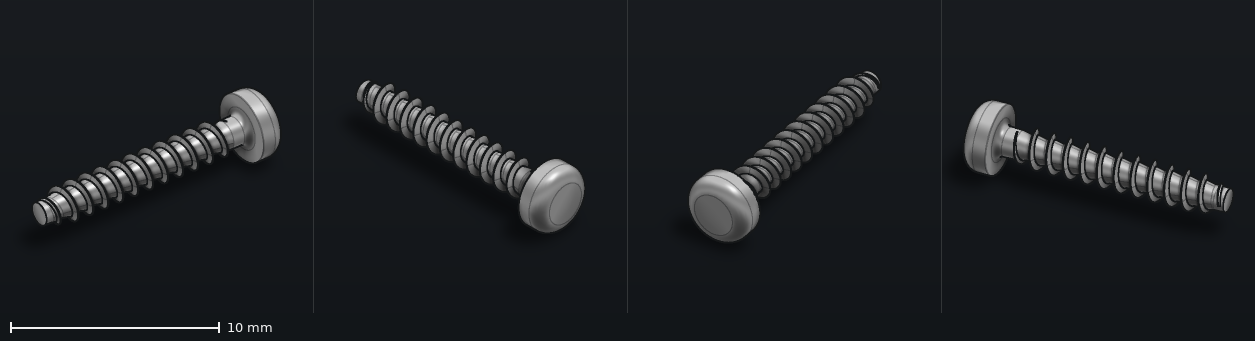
import cadquery as cq
import math

length = 13.4

head_diameter = 3.6
head_radius = head_diameter / 2
head_height = 1.4
dome_radius = 0.7
rim_radius = 0.03

shank_radius = 0.75
underhead_radius = 0.36
shank_end = 11.0
core_radius = 0.62
tip_radius = 0.6
core_top = 10.32
tip_taper_height = 0.54

crest_span = 9.78
span_turns = 11
pitch = crest_span / span_turns
first_crest = 0.68
crest_radius = 1.0
crest_half_width = 0.02
flank_half_width = 0.13
shoulder_radius = 0.71
shoulder_length = 0.62
buried_radius = 0.59
deep_radius = 0.48
start_turn = -0.5
end_turn = 11.75
tip_fade_turns = 1.25
head_fade_turns = 0.75
tip_fade_depth = 0.38
head_fade_depth = 0.25
shoulder_fade_share = 0.3
segment_turns = 0.25
points_per_segment = 5


def make_blank():
    """Revolved head, shank and tapered core."""
    head_base = length - head_height
    diagonal = math.sqrt(0.5)
    dome_middle = (
        head_radius - dome_radius * (1 - diagonal),
        length - dome_radius * (1 - diagonal),
    )
    rim_middle = (
        head_radius - rim_radius * (1 - diagonal),
        head_base + rim_radius * (1 - diagonal),
    )
    underhead_middle = (
        shank_radius + underhead_radius * (1 - diagonal),
        head_base - underhead_radius * (1 - diagonal),
    )
    outline = (
        cq.Workplane("XZ")
        .lineTo(tip_radius, 0)
        .lineTo(core_radius, tip_taper_height)
        .lineTo(core_radius, core_top)
        .lineTo(shank_radius, shank_end)
        .lineTo(shank_radius, head_base - underhead_radius)
        .threePointArc(underhead_middle, (shank_radius + underhead_radius, head_base))
        .lineTo(head_radius - rim_radius, head_base)
        .threePointArc(rim_middle, (head_radius, head_base + rim_radius))
        .lineTo(head_radius, length - dome_radius)
        .threePointArc(dome_middle, (head_radius - dome_radius, length))
        .lineTo(0, length)
        .close()
    )
    return outline.revolve(360, (0, 0, 0), (0, 1, 0))


def fade_drop(turn):
    """Distance the thread section sinks toward the axis near either end."""
    tip_share = max(0, 1 - (turn - start_turn) / tip_fade_turns)
    head_share = max(0, 1 - (end_turn - turn) / head_fade_turns)
    return tip_fade_depth * tip_share + head_fade_depth * head_share


def thread_point(turn, radius, offset, fade_share):
    """Point of the helix for a section corner given by radius, axial offset and share of the fade."""
    angle = 2 * math.pi * turn
    faded_radius = radius - fade_share * fade_drop(turn)
    return cq.Vector(
        faded_radius * math.cos(angle),
        faded_radius * math.sin(angle),
        first_crest + pitch * turn + offset,
    )


def make_thread():
    """Helical rib whose tip-side foot runs out in a sloping shoulder."""
    section = [
        (deep_radius, flank_half_width, 1),
        (buried_radius, flank_half_width, 1),
        (crest_radius, crest_half_width, 1),
        (crest_radius, -crest_half_width, 1),
        (shoulder_radius, -flank_half_width, shoulder_fade_share),
        (buried_radius, -flank_half_width - shoulder_length, shoulder_fade_share),
        (deep_radius, -flank_half_width - shoulder_length, shoulder_fade_share),
    ]

    def end_cap(turn):
        corners = [thread_point(turn, *corner) for corner in section]
        return cq.Face.makeFromWires(cq.Wire.makePolygon(corners, close=True))

    faces = [end_cap(start_turn), end_cap(end_turn)]
    segment_count = round((end_turn - start_turn) / segment_turns)
    for segment in range(segment_count):
        segment_start = start_turn + segment * segment_turns
        turns = [
            segment_start + segment_turns * step / (points_per_segment - 1)
            for step in range(points_per_segment)
        ]
        edges = [
            cq.Edge.makeSpline([thread_point(turn, *corner) for turn in turns])
            for corner in section
        ]
        for edge, next_edge in zip(edges, edges[1:] + edges[:1]):
            faces.append(cq.Face.makeRuledSurface(edge, next_edge))
    thread = cq.Solid.makeSolid(cq.Shell.makeShell(faces))
    return cq.Workplane(thread.fix())


def trim_to_tip(thread):
    """Remove the part of the thread that reaches past the flat tip."""
    return thread.intersect(cq.Workplane("XY").circle(head_radius).extrude(length))


screw = make_blank().union(trim_to_tip(make_thread()))
result = screw.rotate((0, 0, 0), (1, 0, 0), -90)